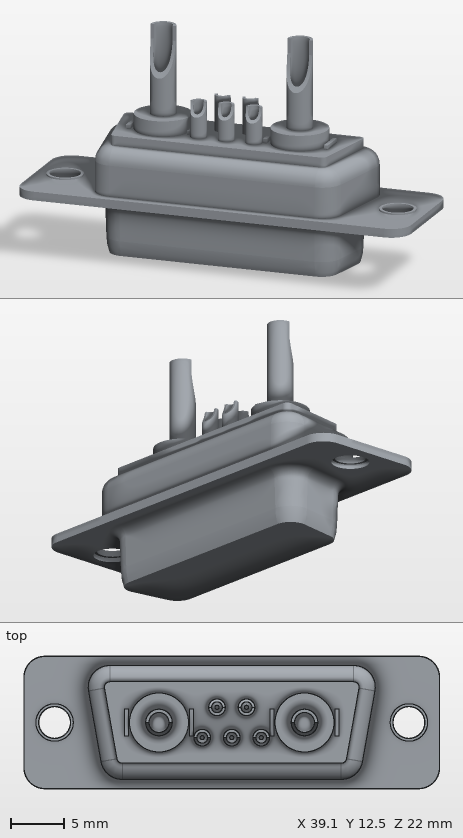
import cadquery as cq
import math

TIP_Z = 15.75
SMALL_TIP_Z = 9.1
COLLAR_TOP_Z = 7.1
INSULATOR_TOP_Z = 5.55
HOOD_TOP_Z = 4.58
PLATE_THICKNESS = 0.85
NOSE_CURVE_Z = -4.75
NOSE_END_Z = -6.25

PLATE_LENGTH = 39.15
PLATE_WIDTH = 12.5
PLATE_CORNER = 2.0
HOLE_SPACING = 33.35
HOLE_RADIUS = 1.5
RIM_RADIUS = 1.75
RIM_HEIGHT = 0.15
COUNTERBORE_RADIUS = 1.8
COUNTERBORE_DEPTH = 0.45

SIDE_ANGLE = 10.0
HOOD_HALF_WIDTH = 12.95
HOOD_HALF_DEPTH = 5.35
HOOD_CORNER = 2.05
HOOD_ROUND = 1.53
INSULATOR_INSET = 1.53
NOSE_HALF_WIDTH = 12.2
NOSE_HALF_DEPTH = 4.05
NOSE_CORNER = 2.07
NOSE_DRAFT = 2.0
NOSE_FLARE = 0.9
NOSE_CURVE_RADIUS = 4.3

LARGE_X = 6.85
COLLAR_RADIUS = 2.78
LARGE_RADIUS = 1.25
LARGE_BORE = 0.95
LARGE_SCOOP = 3.5
LARGE_SCOOP_SAG = 0.2
LARGE_SCOOP_END_Z = 10.8
SMALL_PITCH = 2.78
SMALL_ROW_Y = 1.43
SMALL_RADIUS = 0.8
SMALL_BORE = 0.5
SMALL_PILOT = 0.2
PILOT_DEPTH = 0.4
SMALL_SCOOP = 1.35
SMALL_SCOOP_SAG = 0.15
SMALL_SCOOP_END_Z = 7.67
BORE_EXTRA = 0.4

BAR_WIDTH = 0.4
BAR_HEIGHT = 0.45
BAR_LENGTH = 2.5
BAR_OFFSET = 3.05


def d_outline(z, half_width, half_depth, corner, inset=0.0):
    """Closed rounded trapezoid at height z, shrunk evenly by inset."""
    angle = math.radians(SIDE_ANGLE)
    depth = half_depth - inset
    middle = half_width - inset / math.cos(angle)
    lean = depth * math.tan(angle)
    points = [
        (-middle - lean, depth),
        (middle + lean, depth),
        (middle - lean, -depth),
        (-middle + lean, -depth),
    ]
    sketch = cq.Sketch().polygon(points + points[:1]).vertices().fillet(corner - inset)
    return cq.Workplane("XY", origin=(0, 0, z)).placeSketch(sketch)


def cylinder(x, y, bottom, top, radius):
    return cq.Workplane("XY", origin=(x, y, bottom)).circle(radius).extrude(top - bottom)


def make_plate():
    plate = (
        cq.Workplane("XY")
        .rect(PLATE_LENGTH, PLATE_WIDTH)
        .extrude(-PLATE_THICKNESS)
        .edges("|Z")
        .fillet(PLATE_CORNER)
    )
    for x in (-HOLE_SPACING / 2, HOLE_SPACING / 2):
        plate = plate.union(cylinder(x, 0, -PLATE_THICKNESS, RIM_HEIGHT, RIM_RADIUS))
        plate = plate.cut(cylinder(x, 0, -PLATE_THICKNESS, RIM_HEIGHT, HOLE_RADIUS))
        recess_top = COUNTERBORE_DEPTH - PLATE_THICKNESS
        plate = plate.cut(cylinder(x, 0, -PLATE_THICKNESS, recess_top, COUNTERBORE_RADIUS))
    return plate


def make_hood():
    hood = d_outline(0, HOOD_HALF_WIDTH, HOOD_HALF_DEPTH, HOOD_CORNER).extrude(HOOD_TOP_Z)
    hood = hood.faces(">Z").edges().fillet(HOOD_ROUND)
    insulator = d_outline(0, HOOD_HALF_WIDTH, HOOD_HALF_DEPTH, HOOD_CORNER, INSULATOR_INSET)
    return hood.union(insulator.extrude(INSULATOR_TOP_Z))


def nose_section(z, inset):
    return d_outline(z, NOSE_HALF_WIDTH, NOSE_HALF_DEPTH, NOSE_CORNER, inset)


def add_nose(body):
    straight = -PLATE_THICKNESS - NOSE_CURVE_Z
    draft_inset = straight * math.tan(math.radians(NOSE_DRAFT))
    upper = nose_section(-PLATE_THICKNESS, 0).extrude(-straight, taper=NOSE_DRAFT)
    body = body.union(upper)
    root = cq.selectors.BoxSelector(
        (-NOSE_HALF_WIDTH - NOSE_CORNER, -NOSE_HALF_DEPTH - 0.4, -PLATE_THICKNESS - 0.05),
        (NOSE_HALF_WIDTH + NOSE_CORNER, NOSE_HALF_DEPTH + 0.4, -PLATE_THICKNESS + 0.05),
        boundingbox=True,
    )
    body = body.edges(root).fillet(NOSE_FLARE)

    wires = []
    for step in (0, 0.5, 1):
        drop = step * (NOSE_CURVE_Z - NOSE_END_Z)
        curve_inset = NOSE_CURVE_RADIUS - math.sqrt(NOSE_CURVE_RADIUS**2 - drop**2)
        section = nose_section(NOSE_CURVE_Z - drop, draft_inset + curve_inset)
        wires.append(section.extrude(0.4).faces("<Z").wires().val())
    tip = cq.Solid.makeLoft(wires)
    return body.union(cq.Workplane(tip))


def solder_cup(x, y, facing, radius, bore, top, scoop_end, scoop, sag):
    """Bored post whose half toward facing (+1 or -1 in Y) is scooped away at the top."""
    post = cylinder(x, y, 0, top, radius)
    post = post.cut(cylinder(x, y, scoop_end - BORE_EXTRA, top, bore))
    chord = math.hypot(radius, scoop)
    middle_y = radius / 2 - sag * scoop / chord
    middle_z = scoop_end + scoop / 2 - sag * radius / chord
    cutter = (
        cq.Workplane("YZ", origin=(x - radius, 0, 0))
        .moveTo(y, top)
        .lineTo(y, scoop_end + scoop)
        .threePointArc((y + facing * middle_y, middle_z), (y + facing * radius, scoop_end))
        .lineTo(y + facing * radius, top)
        .close()
        .extrude(2 * radius)
    )
    return post.cut(cutter)


def make_bar(x):
    return (
        cq.Workplane("XY", origin=(x, 0, INSULATOR_TOP_Z))
        .rect(BAR_WIDTH, BAR_LENGTH)
        .extrude(BAR_HEIGHT)
    )


result = add_nose(make_plate()).union(make_hood())

for large_x in (-LARGE_X, LARGE_X):
    result = result.union(cylinder(large_x, 0, 0, COLLAR_TOP_Z, COLLAR_RADIUS))
    cup = solder_cup(
        large_x,
        0,
        -1,
        LARGE_RADIUS,
        LARGE_BORE,
        TIP_Z,
        LARGE_SCOOP_END_Z,
        LARGE_SCOOP,
        LARGE_SCOOP_SAG,
    )
    result = result.union(cup)
    for side in (-1, 1):
        result = result.union(make_bar(large_x + side * BAR_OFFSET))

for row_side, columns in ((-1, (-1, 0, 1)), (1, (-0.5, 0.5))):
    for column in columns:
        cup_x = column * SMALL_PITCH
        cup_y = row_side * SMALL_ROW_Y
        cup = solder_cup(
            cup_x,
            cup_y,
            row_side,
            SMALL_RADIUS,
            SMALL_BORE,
            SMALL_TIP_Z,
            SMALL_SCOOP_END_Z,
            SMALL_SCOOP,
            SMALL_SCOOP_SAG,
        )
        bore_floor_z = SMALL_SCOOP_END_Z - BORE_EXTRA
        pilot = cylinder(cup_x, cup_y, bore_floor_z - PILOT_DEPTH, bore_floor_z, SMALL_PILOT)
        result = result.union(cup).cut(pilot)